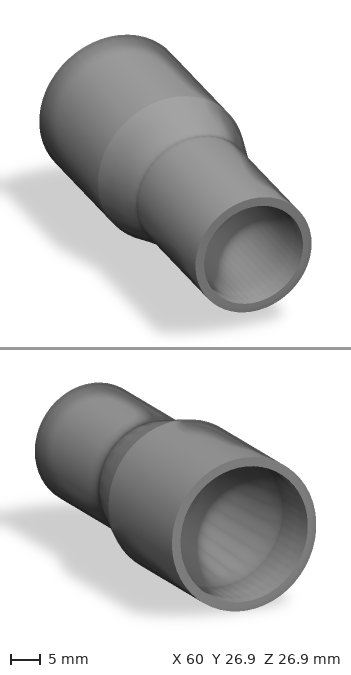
import cadquery as cq

overall_length = 60.0
straight_length = 25.0
wide_bore_depth = 10.0

wide_outer_diameter = 26.9
wide_inner_diameter = 23.7
narrow_outer_diameter = 21.3
narrow_inner_diameter = 18.1

taper_end = overall_length - straight_length


def wall_profile(wide_diameter, narrow_diameter, taper_start):
    """Points along one wall surface, from the wide end to the narrow end."""
    return [
        (0, wide_diameter / 2),
        (taper_start, wide_diameter / 2),
        (taper_end, narrow_diameter / 2),
        (overall_length, narrow_diameter / 2),
    ]


outer_wall = wall_profile(wide_outer_diameter, narrow_outer_diameter, straight_length)
inner_wall = wall_profile(wide_inner_diameter, narrow_inner_diameter, wide_bore_depth)

result = (
    cq.Workplane("XY")
    .polyline(outer_wall + inner_wall[::-1])
    .close()
    .revolve(360, (0, 0, 0), (1, 0, 0))
)